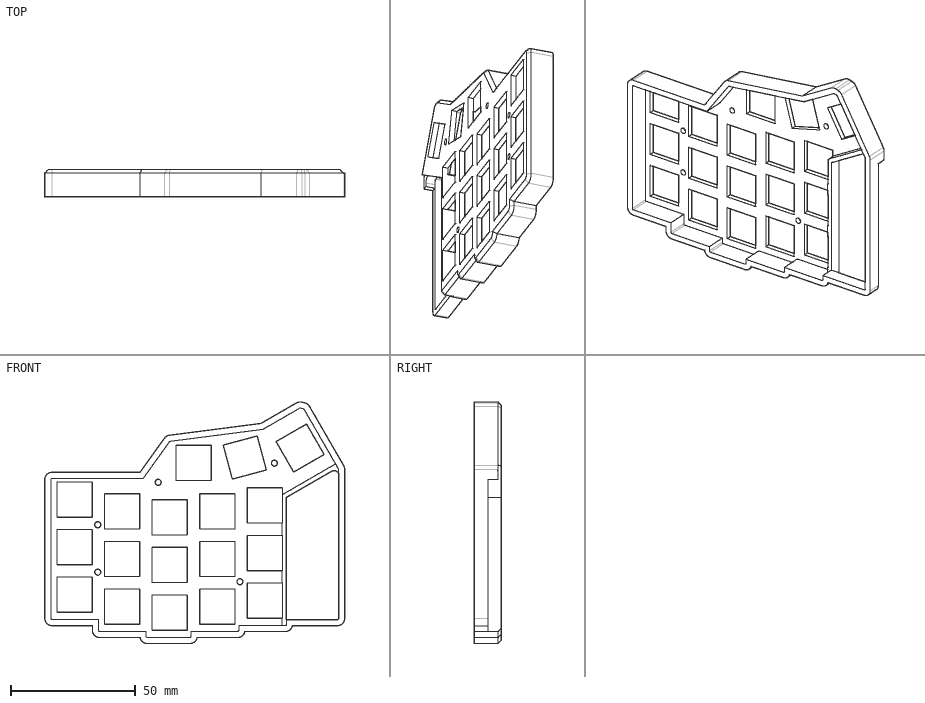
import cadquery as cq
import math


PITCH = 19.05
SWITCH_SIDE = 14.0
ROWS = 3
COLUMN_DROPS = [0.0, PITCH / 4, PITCH * 3 / 8, PITCH / 4, PITCH / 8]
THUMB_TILT = 30
THUMB_SWITCHES = [
    (47.7, 52.8, 0),
    (68.15, 54.9, THUMB_TILT / 2),
    (90.3, 58.7, THUMB_TILT),
]

DEPTH = 11.0
PLATE_THICKNESS = 2.2
WALL = 2.5
BOARD_GAP = 0.5
BACK_CHAMFER = 1.45

LEFT_ROOM = 8.95
RIGHT_ROOM = 8.1
BOTTOM_ROOM = 9.45
TOP_ROOM = 7.95

BOARD_RIGHT = 105.2
SHOULDER_X = 27.75
BROW_LEFT = (38.4, 60.9)
BROW_RIGHT = (75.6, 65.7)
THUMB_EDGE = 17.85
PEAK_CUT = 0.83

BAY_LEFT = 84.8
BAY_CORNER_Z = 38.9
BAY_OVERCUT = 0.2
BAY_RIGHT = BOARD_RIGHT + BOARD_GAP + BAY_OVERCUT
BAY_ROUND = 2.0
BAY_RIDGE = 1.8
BAY_RIM_DEPTH = 5.7
BAY_STUB = 1.6

SCREW_DIAMETER = 2.3
SCREWS = [(9.3, 28.0), (9.3, 9.0), (33.5, 45.0), (66.2, 5.2), (80.0, 52.65)]

COLUMN_FLOORS = [-drop - BOTTOM_ROOM for drop in COLUMN_DROPS]
BAY_FLOOR = COLUMN_FLOORS[0] - BOARD_GAP
CASE_RIGHT = BOARD_RIGHT + BOARD_GAP + WALL
CASE_BOTTOM = min(COLUMN_FLOORS) - BOARD_GAP - WALL
CHAMFER_Y = DEPTH - BACK_CHAMFER
COS_TILT = math.cos(math.radians(THUMB_TILT))
SIN_TILT = math.sin(math.radians(THUMB_TILT))
TAN_TILT = SIN_TILT / COS_TILT


def prism(points, y_front, y_back, growth=0.0):
    """Fill a closed X-Z outline, optionally grown with rounded corners, from y_front to y_back."""
    outline = cq.Workplane("XZ", origin=(0, y_front, 0)).polyline(points).close()
    if growth:
        outline = outline.offset2D(growth, "arc")
    return outline.extrude(y_front - y_back)


def board_points():
    """Corners of the circuit board, anticlockwise from the lower left."""
    points = [(-LEFT_ROOM, COLUMN_FLOORS[0])]

    levels = COLUMN_FLOORS + [COLUMN_FLOORS[0]]
    for column in range(1, len(levels)):
        before, after = levels[column - 1], levels[column]
        if after < before:
            step_x = column * PITCH - LEFT_ROOM
        else:
            step_x = (column - 1) * PITCH + RIGHT_ROOM
        points += [(step_x, before), (step_x, after)]
    points.append((BOARD_RIGHT, COLUMN_FLOORS[0]))

    peak_x = BROW_RIGHT[0] + THUMB_EDGE * COS_TILT
    peak_z = BROW_RIGHT[1] + THUMB_EDGE * SIN_TILT
    points += [
        (BOARD_RIGHT, peak_z - (BOARD_RIGHT - peak_x) / TAN_TILT),
        (peak_x + PEAK_CUT * SIN_TILT, peak_z - PEAK_CUT * COS_TILT),
        (peak_x - PEAK_CUT * COS_TILT, peak_z - PEAK_CUT * SIN_TILT),
    ]

    shoulder_z = (ROWS - 1) * PITCH + TOP_ROOM
    points += [BROW_RIGHT, BROW_LEFT, (SHOULDER_X, shoulder_z), (-LEFT_ROOM, shoulder_z)]
    return points


def bay_points(right, bottom):
    """Bay outline whose top edge rises to the right at the thumb tilt."""
    top_right_z = BAY_CORNER_Z + (right - BAY_LEFT) * TAN_TILT
    return [(BAY_LEFT, bottom), (right, bottom), (right, top_right_z), (BAY_LEFT, BAY_CORNER_Z)]


def tray():
    """Chamfered case with its cavity, leaving the ridge that edges the bay."""
    board = board_points()
    body = prism(board, 0, DEPTH, BOARD_GAP + WALL).faces(">Y").edges().chamfer(BACK_CHAMFER)
    cavity = prism(board, 0, DEPTH - PLATE_THICKNESS, BOARD_GAP)
    ridge = prism(bay_points(CASE_RIGHT, CASE_BOTTOM), BAY_RIM_DEPTH, DEPTH, BAY_RIDGE)
    return body.cut(cavity.cut(ridge))


def bay_opening():
    """Opening through the back, with a rounded upper right corner."""
    opening = prism(bay_points(BAY_RIGHT, BAY_FLOOR), BAY_RIM_DEPTH, DEPTH)
    return opening.edges("|Y").edges(">Z").fillet(BAY_ROUND)


def bay_rim_trim():
    """Space behind the shallow rim on the right and lower sides of the bay."""
    corner_z = BAY_CORNER_Z + (BAY_RIGHT - BAY_LEFT) * TAN_TILT
    tangent = BAY_ROUND / math.tan(math.radians(90 - THUMB_TILT) / 2)
    stub_z = corner_z - tangent - BAY_STUB
    points = [
        (BAY_LEFT, CASE_BOTTOM),
        (CASE_RIGHT, CASE_BOTTOM),
        (CASE_RIGHT, stub_z),
        (BAY_RIGHT, stub_z),
        (BAY_RIGHT, BAY_FLOOR),
        (BAY_LEFT, BAY_FLOOR),
    ]
    return prism(points, BAY_RIM_DEPTH, DEPTH)


def bay_back_trim():
    """The chamfered back layer ends along the sloping edge of the bay."""
    return prism(bay_points(CASE_RIGHT, CASE_BOTTOM), CHAMFER_Y, DEPTH)


def switch_cutout(x, z, tilt):
    cutout = cq.Workplane("XZ").rect(SWITCH_SIDE, SWITCH_SIDE).extrude(-DEPTH)
    return cutout.rotate((0, 0, 0), (0, 1, 0), -tilt).translate((x, 0, z))


def screw_holes():
    return cq.Workplane("XZ").pushPoints(SCREWS).circle(SCREW_DIAMETER / 2).extrude(-DEPTH)


result = tray().cut(bay_opening()).cut(bay_rim_trim()).cut(bay_back_trim())

for column, drop in enumerate(COLUMN_DROPS):
    for row in range(ROWS):
        result = result.cut(switch_cutout(column * PITCH, row * PITCH - drop, 0))
for switch_x, switch_z, switch_tilt in THUMB_SWITCHES:
    result = result.cut(switch_cutout(switch_x, switch_z, switch_tilt))

result = result.cut(screw_holes())